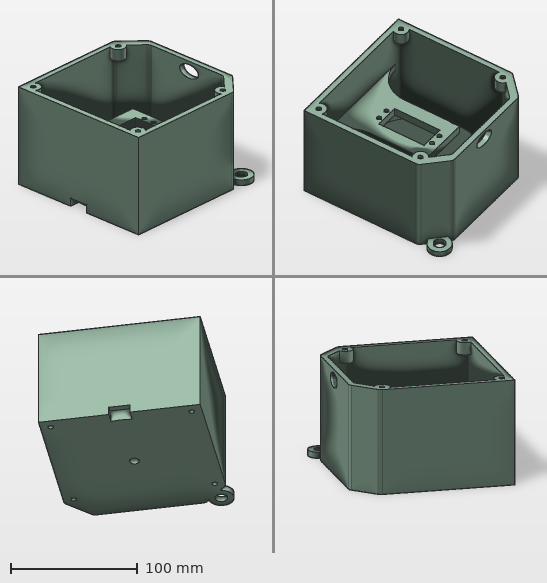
import cadquery as cq
import math

side = 130.0
height = 86.0
wall = 5.0
floor_top = 5.0
corner_cut = 20.0
corner_round = 5.0
mid_x = side / 2

platform_radius = 56.0
platform_top = 12.0
shaft_y = 64.8
shaft_diameter = 7.6

shelf_width = 47.0
shelf_back_y = 88.0
shelf_top = 48.8
shelf_thickness = 7.0
shelf_flare = 30.0
opening_width = 21.7
opening_length = 43.5
opening_mid_y = 56.0
shelf_hole_diameter = 4.0
shelf_hole_spacing = 10.0
shelf_hole_pitch_y = 51.0
shelf_hole_mid_y = 55.9

boss_radius = 6.7
boss_length = 10.0
boss_inset = 8.3
boss_back_y = 106.3
screw_diameter = 4.2

lug_radius = 10.0
lug_thickness = 5.0
lug_x = 123.3
lug_y = 125.9
lug_hole_diameter = 9.9
lug_neck_width = 17.1
lug_neck_length = 9.5

notch_width = 17.0
notch_height = 7.0
port_x = 67.5
port_z = 77.0
port_half_width = 10.0
port_half_height = 6.0


def cylinder(x, y, bottom, top, radius):
    return cq.Workplane("XY", origin=(x, y, bottom)).circle(radius).extrude(top - bottom)


def cut_corner_block(inset, bottom, top):
    """Square block with both back corners cut at 45 degrees and softened."""
    near = inset
    far = side - inset
    outline = [
        (near, near),
        (far, near),
        (far, far - corner_cut),
        (far - corner_cut, far),
        (near + corner_cut, far),
        (near, far - corner_cut),
    ]
    block = cq.Workplane("XY", origin=(0, 0, bottom)).polyline(outline).close().extrude(top - bottom)
    cut_corner_edges = cq.selectors.BoxSelector(
        (-1.4, far - corner_cut - 1.4, bottom - 1.4), (side + 1.4, side + 1.4, top + 1.4)
    )
    return block.edges("|Z").edges(cut_corner_edges).fillet(corner_round)


def make_shelf():
    left = mid_x - shelf_width / 2
    right = mid_x + shelf_width / 2
    flare_y = wall + shelf_flare
    arc_offset = shelf_flare * math.sqrt(0.5)
    shelf = (
        cq.Workplane("XY", origin=(0, 0, shelf_top - shelf_thickness))
        .moveTo(left - shelf_flare, wall)
        .threePointArc((left - shelf_flare + arc_offset, flare_y - arc_offset), (left, flare_y))
        .lineTo(left, shelf_back_y)
        .lineTo(right, shelf_back_y)
        .lineTo(right, flare_y)
        .threePointArc((right + shelf_flare - arc_offset, flare_y - arc_offset), (right + shelf_flare, wall))
        .lineTo(right + shelf_flare, wall / 2)
        .lineTo(left - shelf_flare, wall / 2)
        .close()
        .extrude(shelf_thickness)
    )
    opening = cq.Workplane("XY").center(mid_x, opening_mid_y).rect(opening_width, opening_length).extrude(height)
    holes = (
        cq.Workplane("XY")
        .center(mid_x, shelf_hole_mid_y)
        .rarray(shelf_hole_spacing, shelf_hole_pitch_y, 2, 2)
        .circle(shelf_hole_diameter / 2)
        .extrude(height)
    )
    return shelf.cut(opening).cut(holes)


def make_lug():
    neck = (
        cq.Workplane("XY")
        .rect(lug_neck_length, lug_neck_width)
        .extrude(lug_thickness)
        .translate((-lug_neck_length / 2, 0, 0))
        .rotate((0, 0, 0), (0, 0, 1), 45)
        .translate((lug_x, lug_y, 0))
    )
    hole = cylinder(lug_x, lug_y, 0, lug_thickness, lug_hole_diameter / 2)
    return cylinder(lug_x, lug_y, 0, lug_thickness, lug_radius).union(neck).cut(hole)


outer = cut_corner_block(0, 0, height)
result = outer.cut(cut_corner_block(wall, floor_top, height))
result = result.union(make_lug())

notch = cq.Workplane("XY").box(notch_width, shaft_y, notch_height, centered=(True, False, False))
result = result.cut(notch.translate((mid_x, 0, 0)))
result = result.union(cylinder(mid_x, shaft_y, 0, platform_top, platform_radius))
result = result.cut(cylinder(mid_x, shaft_y, 0, platform_top, shaft_diameter / 2))
result = result.union(make_shelf())

for x in (boss_inset, side - boss_inset):
    for y in (boss_inset, boss_back_y):
        boss = cylinder(x, y, height - boss_length, height, boss_radius).intersect(outer)
        result = result.union(boss)
        result = result.cut(cylinder(x, y, height - boss_length, height, screw_diameter / 2))
        result = result.cut(cylinder(x, y, 0, floor_top, screw_diameter / 2))

port = (
    cq.Workplane("XZ", origin=(port_x, side, port_z))
    .ellipse(port_half_width, port_half_height)
    .extrude(wall)
)
result = result.cut(port)